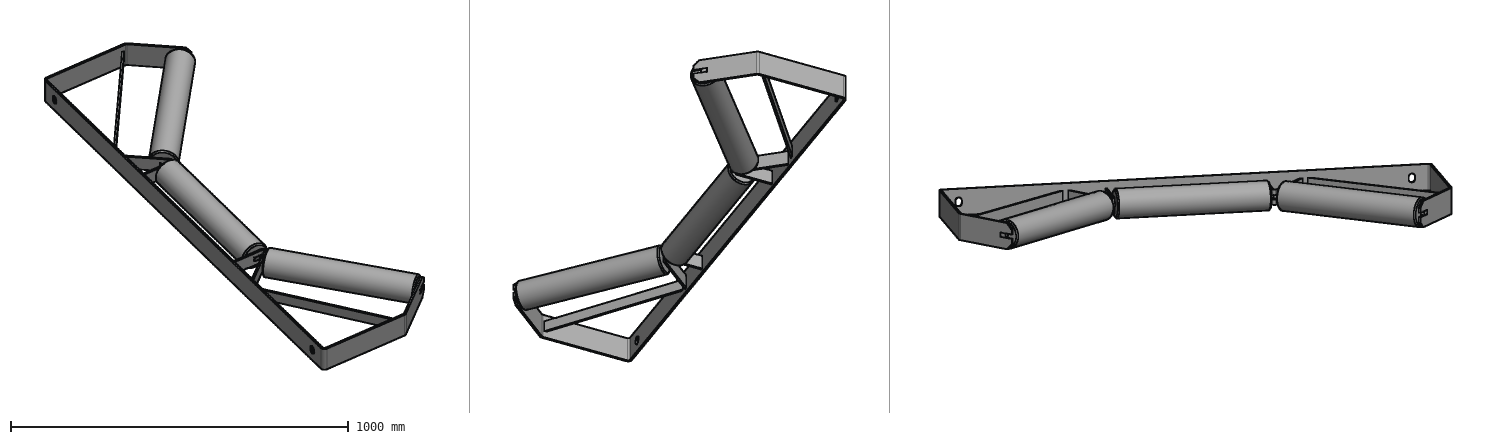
import cadquery as cq
import math

frame_length = 1490.0
frame_height = 80.0
strip_thickness = 6.3
frame_bend_radius = 2 * strip_thickness
shoulder_y = 294.0
arm_length = 197.0
arm_end_chamfer = 18.0

mount_slot_x = 685.0
mount_slot_width = 20.0
mount_slot_height = 27.0

trough_angle = 40.0
roller_diameter = 90.0
roller_length = 466.0
roller_chamfer = 5.0
shaft_diameter = 20.0
shaft_flat_width = 13.0
shaft_overhang = 12.0
center_roller_y = 100.0
wing_roller_x = 451.0
wing_roller_y = 262.0
wing_inner_z = -5.2
wing_outer_z = 0.7
center_roller_z = wing_inner_z

bracket_leg_x = 237.0
bracket_top_y = 127.0
bracket_height = 46.0
bracket_foot_x = 355.0
bracket_bend_radius = 9.0

brace_height = 36.0
brace_wall_y = 280.0
brace_foot_x = 375.0

half_length = frame_length / 2
slope = math.radians(90 - trough_angle)
wing_tilt = math.degrees(math.asin((wing_outer_z - wing_inner_z) / roller_length))


def line_crossing(point_a, direction_a, point_b, direction_b):
    """Point where two lines cross in the XY plane."""
    cross = direction_a[0] * direction_b[1] - direction_a[1] * direction_b[0]
    gap = (point_b[0] - point_a[0], point_b[1] - point_a[1])
    along = (gap[0] * direction_b[1] - gap[1] * direction_b[0]) / cross
    return (point_a[0] + along * direction_a[0], point_a[1] + along * direction_a[1])


def offset_line(start, end, distance):
    """A line moved to the left of its direction, as a point and a unit direction."""
    length = math.hypot(end[0] - start[0], end[1] - start[1])
    direction = ((end[0] - start[0]) / length, (end[1] - start[1]) / length)
    point = (start[0] - distance * direction[1], start[1] + distance * direction[0])
    return point, direction


def bent_strip(outer_points, height, bend_radius):
    """Strip of constant thickness lying to the left of a path, with rounded bends."""
    legs = list(zip(outer_points, outer_points[1:]))
    lines = [offset_line(start, end, strip_thickness) for start, end in legs]
    bends = [line_crossing(*first, *second) for first, second in zip(lines, lines[1:])]
    last_point, _ = offset_line(outer_points[-1], outer_points[-2], -strip_thickness)
    inner_points = [lines[0][0], *bends, last_point]
    strip = cq.Workplane("XY").polyline(outer_points + inner_points[::-1]).close()
    strip = strip.extrude(height / 2, both=True)
    for outer, inner in zip(outer_points[1:-1], bends):
        for corner, radius in ((outer, bend_radius), (inner, bend_radius - strip_thickness)):
            nearest = cq.selectors.NearestToPointSelector((*corner, 0))
            strip = strip.edges("|Z").edges(nearest).fillet(radius)
    return strip


def place_wing(shape, side):
    """Move a shape from the roller's own axes to the wing on one side (-1 or +1)."""
    return (
        shape.rotate((0, 0, 0), (0, 1, 0), -side * wing_tilt)
        .rotate((0, 0, 0), (0, 0, 1), side * trough_angle)
        .translate((side * wing_roller_x, wing_roller_y, (wing_inner_z + wing_outer_z) / 2))
    )


def place_center(shape):
    return shape.translate((0, center_roller_y, center_roller_z))


def x_cylinder(diameter, length):
    """Cylinder along X, centered on the origin."""
    return cq.Workplane("YZ", origin=(-length / 2, 0, 0)).circle(diameter / 2).extrude(length)


def make_roller():
    """Roller along X with a flatted shaft, centered on the origin."""
    shaft_length = roller_length + 2 * shaft_overhang
    drum = x_cylinder(roller_diameter, roller_length).edges("%CIRCLE").chamfer(roller_chamfer)
    shaft = x_cylinder(shaft_diameter, shaft_length)
    flats = cq.Workplane("XY").box(shaft_length, shaft_diameter, shaft_flat_width)
    return drum.union(shaft.intersect(flats))


def make_shaft_slots():
    """Cutters for the open slots that take both shaft ends of a roller along X."""
    slot_length = 2 * shaft_overhang
    slot_depth = roller_diameter
    return (
        cq.Workplane("XY")
        .pushPoints([(end * (roller_length + slot_length) / 2, 0) for end in (-1, 1)])
        .box(slot_length, slot_depth, shaft_flat_width)
        .translate((0, (slot_depth - shaft_diameter) / 2, 0))
    )


def make_frame():
    """Front strip, end walls and sloping arms, with mounting slots and shaft slots."""
    arm_end = (
        half_length - arm_length * math.cos(slope),
        shoulder_y + arm_length * math.sin(slope),
    )
    right_half = [(half_length, 0), (half_length, shoulder_y), arm_end]
    left_half = [(-x, y) for x, y in reversed(right_half)]
    frame = bent_strip(left_half + right_half, frame_height, frame_bend_radius)

    mount_slots = (
        cq.Workplane("XZ")
        .pushPoints([(-mount_slot_x, 0), (mount_slot_x, 0)])
        .slot2D(mount_slot_height, mount_slot_width, 90)
        .extrude(-2 * strip_thickness)
    )
    frame = frame.cut(mount_slots)
    for side in (-1, 1):
        middle = (arm_end[0] * side, arm_end[1])
        tip = frame.faces(cq.selectors.NearestToPointSelector((*middle, 0)))
        frame = tip.edges("not |Z").edges("<Z or >Z").chamfer(arm_end_chamfer)
        frame = frame.cut(place_wing(make_shaft_slots(), side))
    return frame


def make_front_space():
    """Block from the inner face of the front strip forwards, to trim what stands on that face."""
    return cq.Workplane("XY").box(frame_length, frame_length, frame_length).translate(
        (0, strip_thickness - half_length, 0)
    )


def make_right_bracket():
    """Sloping plate, short top and upright leg, both feet standing on the front strip."""
    foot_x = bracket_foot_x + strip_thickness / math.tan(slope)
    bend_x = foot_x - bracket_top_y / math.tan(slope)
    path = [
        (2 * foot_x - bend_x, -bracket_top_y),
        (bend_x, bracket_top_y),
        (bracket_leg_x, bracket_top_y),
        (bracket_leg_x, 0),
    ]
    bracket = bent_strip(path, bracket_height, bracket_bend_radius).translate((0, 0, wing_inner_z))
    bracket = bracket.cut(make_front_space())
    bracket = bracket.cut(place_wing(make_shaft_slots(), 1))
    return bracket.cut(place_center(make_shaft_slots()))


def make_right_brace():
    """Flat bar from the end wall down to the front strip, its ends flush with both."""
    wall_x = half_length - strip_thickness
    foot = (brace_foot_x, strip_thickness)
    top = (wall_x, brace_wall_y)
    half_thickness = strip_thickness / 2
    outline = []
    for distance in (-half_thickness, half_thickness):
        side_line = offset_line(foot, top, distance)
        ends = [
            line_crossing(*side_line, foot, (1, 0)),
            line_crossing(*side_line, top, (0, 1)),
        ]
        outline += ends if distance < 0 else ends[::-1]
    return cq.Workplane("XY").polyline(outline).close().extrude(brace_height / 2, both=True)


frame = make_frame()

right_bracket = make_right_bracket()
right_brace = make_right_brace()
brackets = [right_bracket, right_bracket.mirror("YZ")]
braces = [right_brace, right_brace.mirror("YZ")]

rollers = [place_wing(make_roller(), side) for side in (-1, 1)]
rollers.append(place_center(make_roller()))

bodies = [frame, *brackets, *braces, *rollers]
result = cq.Compound.makeCompound([body.val() for body in bodies])